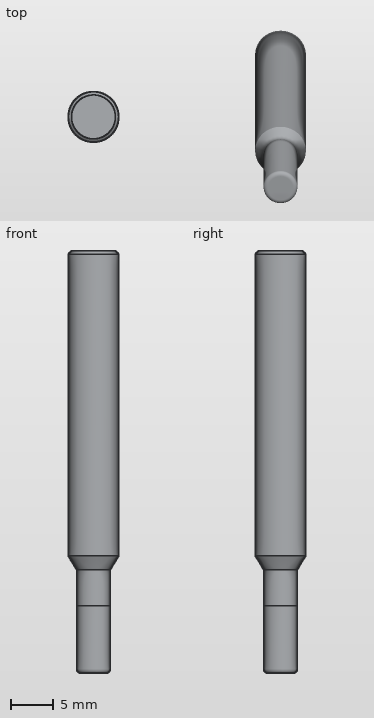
import cadquery as cq

total_length = 50.0

head_diameter = 4.0
head_length = 8.0
corner_radius = 0.5

shank_diameter = 6.0
shank_chamfer = 0.4
neck_diameter = head_diameter
neck_top = 12.25
cone_top = 13.9


def make_head():
    """Plain cylinder with a rounded bottom corner."""
    head = cq.Workplane("XY").circle(head_diameter / 2).extrude(head_length)
    return head.faces("<Z").edges().fillet(corner_radius)


def make_shank():
    """Turned neck, cone and shank standing on the cutting head."""
    neck_radius = neck_diameter / 2
    shank_radius = shank_diameter / 2
    shank = (
        cq.Workplane("XZ")
        .moveTo(0, head_length)
        .lineTo(neck_radius, head_length)
        .lineTo(neck_radius, neck_top)
        .lineTo(shank_radius, cone_top)
        .lineTo(shank_radius, total_length)
        .lineTo(0, total_length)
        .close()
        .revolve()
    )
    return shank.faces(">Z").edges().chamfer(shank_chamfer)


head = make_head()
shank = make_shank()

result = cq.Compound.makeCompound([head.val(), shank.val()])